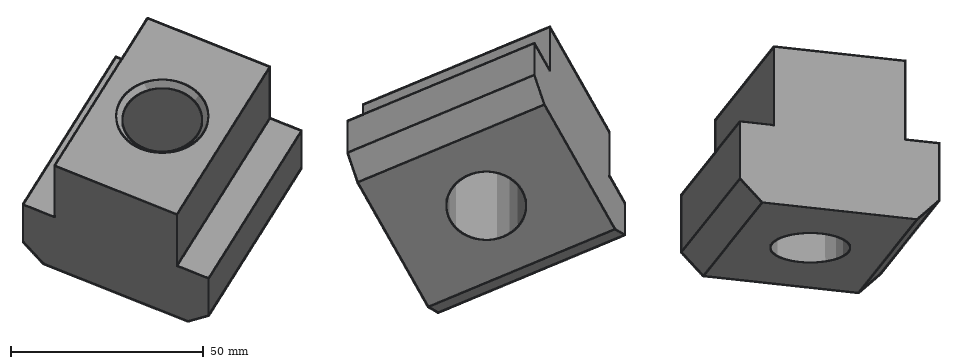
import cadquery as cq

length = 54.0
base_width = 54.0
neck_width = 35.6
total_height = 44.0
base_height = total_height / 2
edge_chamfer = 6.0

hole_diameter = 20.75
countersink_diameter = 24.0
countersink_depth = (countersink_diameter - hole_diameter) / 2


def make_base():
    """Wide foot with its two long lower edges chamfered."""
    base = cq.Workplane("XY").box(base_width, length, base_height, centered=(True, True, False))
    return base.faces("<Z").edges("|Y").chamfer(edge_chamfer)


def make_neck():
    """Narrow upper block standing on the foot."""
    neck_height = total_height - base_height
    return (
        cq.Workplane("XY")
        .workplane(offset=base_height)
        .box(neck_width, length, neck_height, centered=(True, True, False))
    )


def make_hole():
    """Through hole along Z with a conical mouth at the top."""
    bore = cq.Workplane("XY").circle(hole_diameter / 2).extrude(total_height)
    mouth = (
        cq.Workplane("XY")
        .workplane(offset=total_height - countersink_depth)
        .circle(hole_diameter / 2)
        .workplane(offset=countersink_depth)
        .circle(countersink_diameter / 2)
        .loft()
    )
    return bore.union(mouth)


result = make_base().union(make_neck()).cut(make_hole())